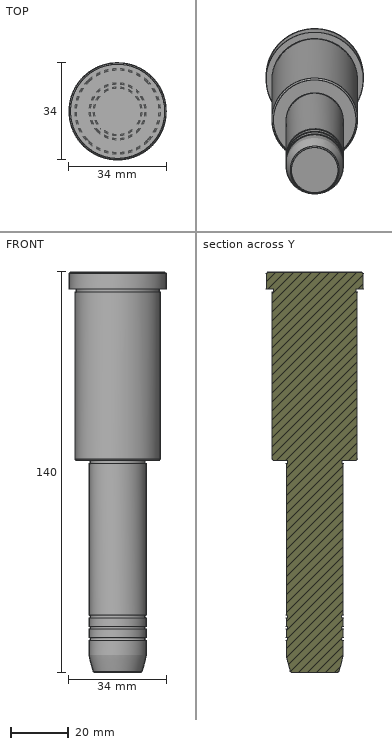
import cadquery as cq

TOTAL_LENGTH = 140.0
HEAD_RADIUS = 34.0 / 2
HEAD_THICKNESS = 6.0
HEAD_CHAMFER = 0.5
BODY_RADIUS = 30.0 / 2
BODY_BOTTOM = 74.0
BODY_CHAMFER = 0.5
SHANK_RADIUS = 20.0 / 2

RELIEF_HEIGHT = 1.0
RELIEF_DEPTH = 0.4

TIP_HEIGHT = 6.0
TIP_END_RADIUS = 8.5
TIP_MID_RADIUS = 9.4
TIP_CHAMFER = 0.4

GROOVE_COUNT = 3
LOWEST_GROOVE_Z = 11.8
GROOVE_PITCH = 3.9
GROOVE_RADIUS = 0.49

HEAD_BOTTOM = TOTAL_LENGTH - HEAD_THICKNESS


def cylinder(radius, bottom, top):
    return cq.Workplane("XY").workplane(offset=bottom).circle(radius).extrude(top - bottom)


def ring_cut(radius, depth, bottom, height):
    """Ring that removes the outer layer of a cylinder of the given radius."""
    top = bottom + height
    return cylinder(radius, bottom, top).cut(cylinder(radius - depth, bottom, top))


def groove_ring(height):
    """Round-section ring centred on the shank surface."""
    return (
        cq.Workplane("XZ")
        .center(SHANK_RADIUS, height)
        .circle(GROOVE_RADIUS)
        .revolve(360, (-SHANK_RADIUS, 0, 0), (-SHANK_RADIUS, 1, 0))
    )


def make_tip():
    """Tip revolved from a half profile with an arc on its flank."""
    mid_height = (TIP_HEIGHT + TIP_CHAMFER) / 2
    return (
        cq.Workplane("XZ")
        .lineTo(TIP_END_RADIUS - TIP_CHAMFER, 0)
        .lineTo(TIP_END_RADIUS, TIP_CHAMFER)
        .threePointArc((TIP_MID_RADIUS, mid_height), (SHANK_RADIUS, TIP_HEIGHT))
        .lineTo(0, TIP_HEIGHT)
        .close()
        .revolve(360, (0, 0, 0), (0, 1, 0))
    )


head = cylinder(HEAD_RADIUS, HEAD_BOTTOM, TOTAL_LENGTH).faces(">Z").chamfer(HEAD_CHAMFER)

body = cylinder(BODY_RADIUS, BODY_BOTTOM, HEAD_BOTTOM).faces("<Z").chamfer(BODY_CHAMFER)
body = body.cut(ring_cut(BODY_RADIUS, RELIEF_DEPTH, HEAD_BOTTOM - RELIEF_HEIGHT, RELIEF_HEIGHT))

shank = cylinder(SHANK_RADIUS, TIP_HEIGHT, BODY_BOTTOM)
shank = shank.cut(ring_cut(SHANK_RADIUS, RELIEF_DEPTH, BODY_BOTTOM - RELIEF_HEIGHT, RELIEF_HEIGHT))
for index in range(GROOVE_COUNT):
    shank = shank.cut(groove_ring(LOWEST_GROOVE_Z + index * GROOVE_PITCH))

result = head.union(body).union(shank).union(make_tip())